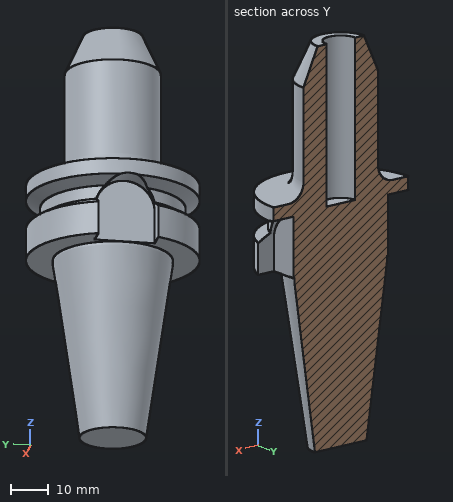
import cadquery as cq

total_height = 111.9
taper_height = 48.6
collar_bottom = 49.5
collar_top = 58.3
groove_bottom = 60.4
groove_top = 64.0
flange_bottom = 66.0
flange_top = 70.3
nose_bottom = 101.4

taper_small_radius = 8.8
taper_large_radius = 15.9
flange_radius = 23.0
groove_radius = 19.2
body_radius = 12.8
nose_radius = 8.0
neck_fillet_radius = 4.9
bore_radius = 4.8

bore_depth = 44.8

slot_width = 16.1
slot_floor = 16.2
slot_arc_center = collar_top


def make_body():
    """Revolve the holder profile around the Z axis."""
    neck_start = (body_radius + neck_fillet_radius, flange_top)
    neck_end = (body_radius, flange_top + neck_fillet_radius)
    return (
        cq.Workplane("XZ")
        .lineTo(taper_small_radius, 0)
        .lineTo(taper_large_radius, taper_height)
        .lineTo(taper_large_radius, collar_bottom)
        .lineTo(flange_radius, collar_bottom)
        .lineTo(flange_radius, collar_top)
        .lineTo(groove_radius, groove_bottom)
        .lineTo(groove_radius, groove_top)
        .lineTo(flange_radius, flange_bottom)
        .lineTo(flange_radius, flange_top)
        .lineTo(*neck_start)
        .radiusArc(neck_end, neck_fillet_radius)
        .lineTo(body_radius, nose_bottom)
        .lineTo(nose_radius, total_height)
        .lineTo(0, total_height)
        .close()
        .revolve(360, (0, 0), (0, 1))
    )


def make_slot(side):
    """Round-topped drive slot, open at the collar underside, on the +X or -X side."""
    half_width = slot_width / 2
    return (
        cq.Workplane("YZ", origin=(side * slot_floor, 0, 0))
        .moveTo(-half_width, collar_bottom)
        .lineTo(-half_width, slot_arc_center)
        .threePointArc((0, slot_arc_center + half_width), (half_width, slot_arc_center))
        .lineTo(half_width, collar_bottom)
        .close()
        .extrude(side * flange_radius)
    )


bore = (
    cq.Workplane("XY", origin=(0, 0, total_height - bore_depth))
    .circle(bore_radius)
    .extrude(bore_depth)
)

result = make_body().cut(bore)
for side in (-1, 1):
    result = result.cut(make_slot(side))